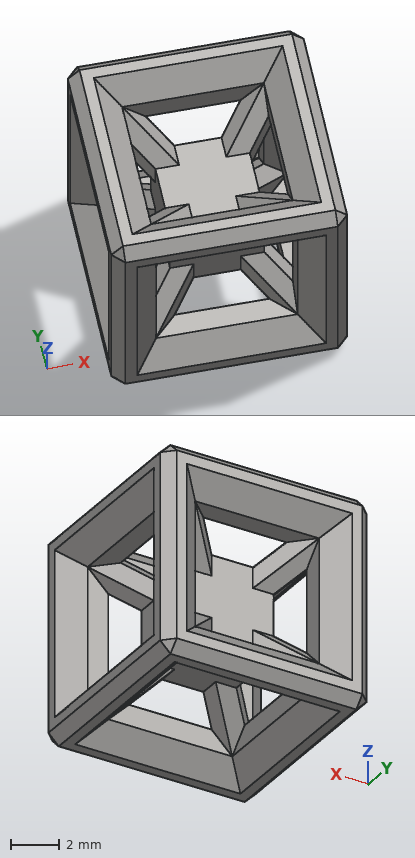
import cadquery as cq
import math

SIZE = 10.0
EDGE_CHAMFER = 0.5
RIM_WIDTH = 1.0
WINDOW_DEPTH = 1.0
CORE_SIZE = 4.0
STRUT_SIZE = 1.0

WINDOW_OUTER = SIZE - 2 * RIM_WIDTH
WINDOW_INNER = WINDOW_OUTER - 2 * WINDOW_DEPTH
WINDOW_CORNER_HEIGHT = SIZE / 2 - WINDOW_DEPTH

STRUT_DIAMETER = 2 * STRUT_SIZE * math.sqrt(2 / 3)

STRUT_REACH = (WINDOW_INNER + WINDOW_CORNER_HEIGHT) / math.sqrt(3)


def window_bevel(normal):
    """Tapered mouth that narrows from an outer side to the straight opening."""
    plane = cq.Plane(origin=normal * (SIZE / 2), normal=normal)
    return (
        cq.Workplane(plane)
        .rect(WINDOW_OUTER, WINDOW_OUTER)
        .workplane(offset=-WINDOW_DEPTH)
        .rect(WINDOW_INNER, WINDOW_INNER)
        .loft(ruled=True)
    )


def through_opening(normal):
    """Straight square opening from one outer side to the opposite one."""
    plane = cq.Plane(origin=(0, 0, 0), normal=normal)
    return cq.Workplane(plane).rect(WINDOW_INNER, WINDOW_INNER).extrude(SIZE / 2, both=True)


def diagonal_strut(x_sign, y_sign):
    """Hexagonal bar along a body diagonal, reaching two opposite corners."""
    plane = cq.Plane(
        origin=(0, 0, 0),
        xDir=(x_sign, y_sign, -2),
        normal=(x_sign, y_sign, 1),
    )
    return cq.Workplane(plane).polygon(6, STRUT_DIAMETER).extrude(STRUT_REACH, both=True)


frame = cq.Workplane("XY").box(SIZE, SIZE, SIZE).edges().chamfer(EDGE_CHAMFER)
for axis in (cq.Vector(1, 0, 0), cq.Vector(0, 1, 0), cq.Vector(0, 0, 1)):
    frame = frame.cut(through_opening(axis))
    frame = frame.cut(window_bevel(axis))
    frame = frame.cut(window_bevel(-axis))

core = cq.Workplane("XY").box(CORE_SIZE, CORE_SIZE, CORE_SIZE)
for x_sign in (-1, 1):
    for y_sign in (-1, 1):
        core = core.union(diagonal_strut(x_sign, y_sign))

result = frame.union(core)